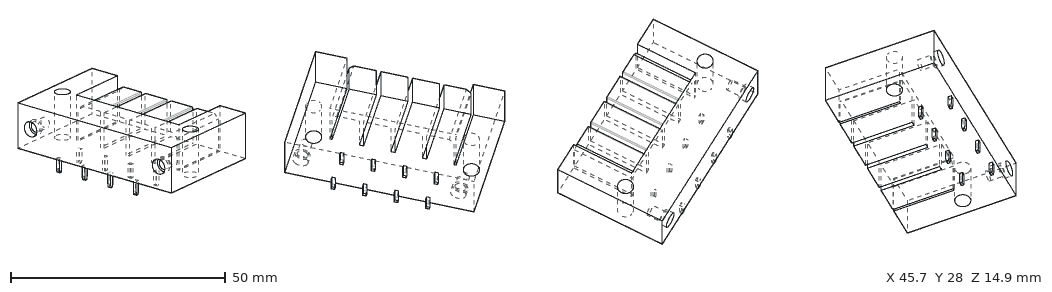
import cadquery as cq

length = 45.7
depth = 28.0
body_height = 11.45
total_height = 14.9

columns = 4
rows = 2
pitch = length / (columns + 2)
column_places = [length / 2 + (i - (columns - 1) / 2) * pitch for i in range(columns)]

notch_width = columns * pitch
notch_depth = 15.55
notch_front = depth - notch_depth

tongue_width = 6.6
tongue_drop = 2.4
tongue_height = body_height - tongue_drop
key_chamfer = 1.15
edge_radius = 0.27

arm_width = (length - notch_width) / 2
hole_places = [arm_width / 2, length - arm_width / 2]
mount_hole_diameter = 3.75
mount_hole_y = 12.0
screw_hole_diameter = 3.7
screw_hole_depth = 1.9
screw_pilot_diameter = 2.6
screw_pilot_depth = 5.5

pin_width = 0.85
pin_length = total_height - body_height
first_pin_row = 1.1
pin_tip_length = 0.95
pin_tip_inset = 0.15


def make_tongue(column):
    """One tongue: outer top edges of the end tongues are chamfered, all other top edges rounded."""
    tongue = (
        cq.Workplane("XY")
        .box(tongue_width, notch_depth, tongue_height, centered=(True, False, False))
        .translate((column_places[column], notch_front, 0))
    )
    for side, end_column in (("<X", 0), (">X", columns - 1)):
        edge = tongue.faces(">Z").edges(side)
        if column == end_column:
            tongue = edge.chamfer(key_chamfer)
        else:
            tongue = edge.fillet(edge_radius)
    return tongue


def make_housing():
    """Block with a rear notch, the tongues inside it, and the holes of both arms."""
    housing = cq.Workplane("XY").box(length, depth, body_height, centered=False)
    notch = (
        cq.Workplane("XY")
        .box(notch_width, notch_depth, body_height, centered=(True, False, False))
        .translate((length / 2, notch_front, 0))
    )
    housing = housing.cut(notch)
    for column in range(columns):
        housing = housing.union(make_tongue(column))
    for x in hole_places:
        mount_hole = (
            cq.Workplane("XY")
            .center(x, mount_hole_y)
            .circle(mount_hole_diameter / 2)
            .extrude(body_height)
        )
        screw_hole = (
            cq.Workplane("XZ")
            .center(x, body_height / 2)
            .circle(screw_hole_diameter / 2)
            .extrude(-screw_hole_depth)
        )
        screw_pilot = (
            cq.Workplane("XZ")
            .center(x, body_height / 2)
            .circle(screw_pilot_diameter / 2)
            .extrude(-screw_pilot_depth)
        )
        housing = housing.cut(mount_hole).cut(screw_hole).cut(screw_pilot)
    return housing


def make_pin(x, y):
    """Square pin under the housing, its tip tapered at the front and back."""
    half = pin_width / 2
    tip_half = half - pin_tip_inset
    shoulder = pin_tip_length - pin_length
    profile = [
        (-half, 0),
        (half, 0),
        (half, shoulder),
        (tip_half, -pin_length),
        (-tip_half, -pin_length),
        (-half, shoulder),
    ]
    return (
        cq.Workplane("YZ")
        .polyline(profile)
        .close()
        .extrude(half, both=True)
        .translate((x, y, 0))
    )


housing = make_housing()
pins = [
    make_pin(x, first_pin_row + row * pitch)
    for x in column_places
    for row in range(rows)
]

result = cq.Compound.makeCompound([housing.val(), *(pin.val() for pin in pins)])